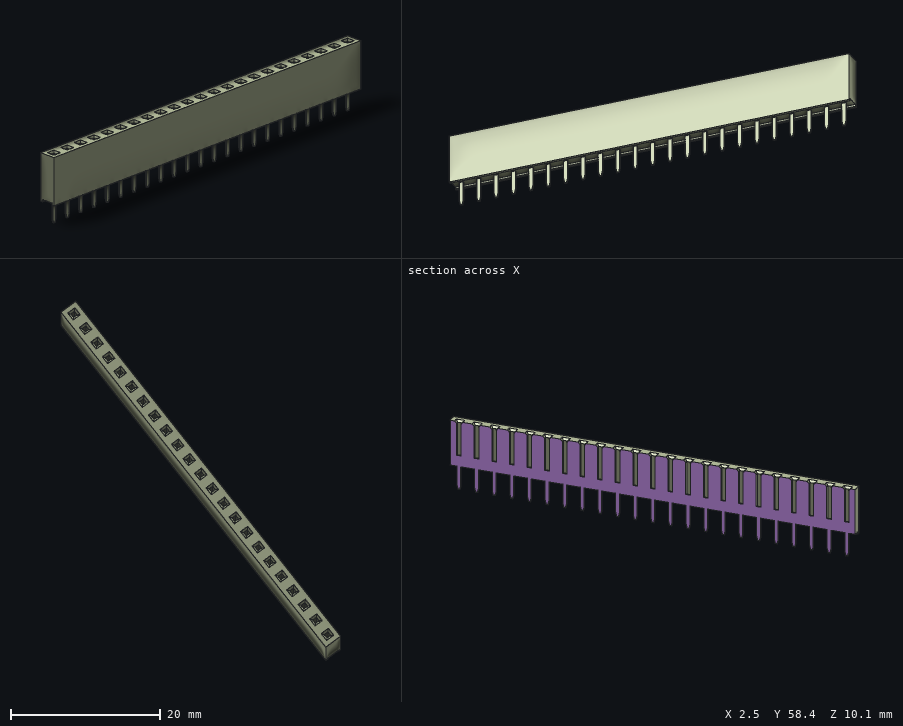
import cadquery as cq

contact_count = 23
body_length = 58.4
body_width = 2.5
total_height = 10.1
pin_length = 3.1
pitch = body_length / contact_count
body_height = total_height - pin_length

channel_width = 1.75
channel_depth = 0.3

contact_half_width = 0.3

socket_size = 2 * contact_half_width
lead_in_depth = contact_half_width
lead_in_size = socket_size + 2 * lead_in_depth
socket_depth = 5.25

pin_width = 2 * contact_half_width
pin_thickness = 0.2
tip_width = pin_width / 2
tip_height = 0.6
pin_rise = 0.25
pin_top_z = body_height - socket_depth + pin_rise

contact_points = [(0, (i - (contact_count - 1) / 2) * pitch) for i in range(contact_count)]


def make_body():
    """Housing block, standing on Z = 0, with the channel cut along its underside."""
    block = cq.Workplane("XY").box(body_width, body_length, body_height, centered=(True, True, False))
    channel = cq.Workplane("XY").box(channel_width, body_length, channel_depth, centered=(True, True, False))
    return block.cut(channel)


def make_socket():
    """Cutter for one socket, its mouth at the top face of the body."""
    lead_in = (
        cq.Workplane("XY", origin=(0, 0, body_height))
        .rect(lead_in_size, lead_in_size)
        .workplane(offset=-lead_in_depth)
        .rect(socket_size, socket_size)
        .loft(ruled=True)
    )
    shaft = (
        cq.Workplane("XY", origin=(0, 0, body_height - socket_depth))
        .rect(socket_size, socket_size)
        .extrude(socket_depth)
    )
    return lead_in.union(shaft)


def make_pin():
    """One pin, from its top inside the socket down to its tapered tip."""
    tip_z = -pin_length
    shoulder_z = tip_z + tip_height
    outline = [
        (-pin_width / 2, pin_top_z),
        (-pin_width / 2, shoulder_z),
        (-tip_width / 2, tip_z),
        (tip_width / 2, tip_z),
        (pin_width / 2, shoulder_z),
        (pin_width / 2, pin_top_z),
    ]
    return cq.Workplane("YZ").polyline(outline).close().extrude(pin_thickness / 2, both=True)


def at_each_contact(shape):
    """Copies of a shape at every contact position."""
    solid = shape.val()
    return cq.Workplane("XY").pushPoints(contact_points).eachpoint(lambda place: solid.moved(place))


result = make_body().cut(at_each_contact(make_socket())).union(at_each_contact(make_pin()))